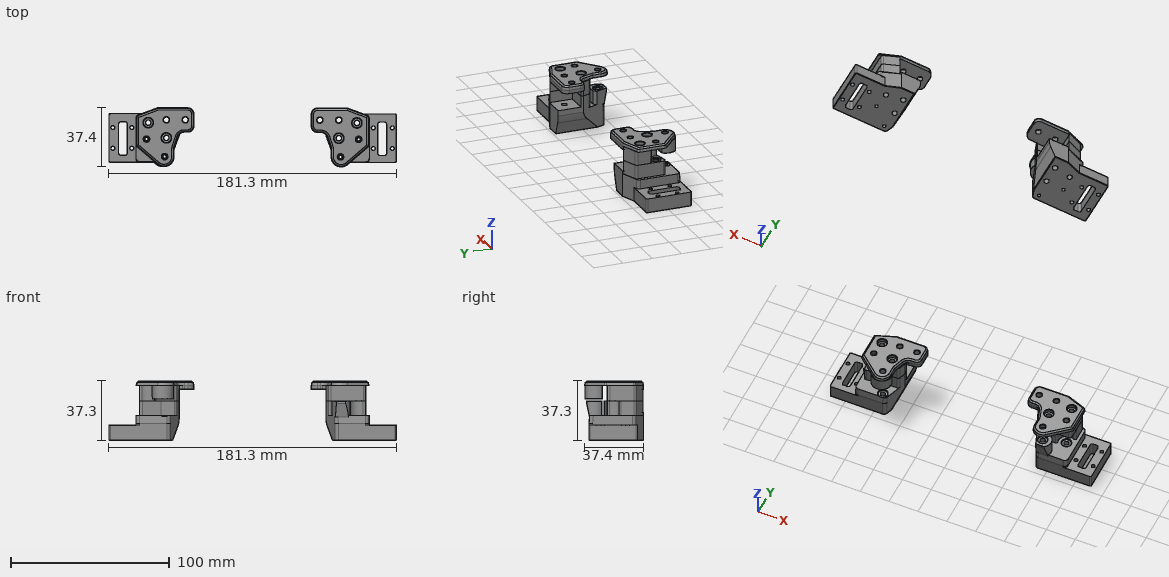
import cadquery as cq
import math


total_length = 181.3
right_unit_shift = 0.2

slab_top = 9.6
rim_top = 10.7
ledge_top = 15.8
shelf_top = 17.5
seam = 25.0
pad_bottom = 32.3
plate_bottom = 34.6
plate_top = 37.3

side_screw = (23.7, 14.7)
front_screw = (35.2, 3.6)
counterbored_points = [(24.8, 25.0), (36.3, 15.4)]
arm_points = [(36.3, 26.8), (48.2, 26.8)]
plate_hole = 3.5
long_bore = 3.3
counterbore = 6.0
counterbore_depth = 2.4
rim_chamfer = 0.4
seat_counterbore = 6.0
seat_depth = 0.5
seat_bore_depth = 5.5
pilot_hole = 2.0
mount_hole = 2.4
mount_center = (8.5, 15.4)
mount_hole_spacing = (12.0, 13.0)

slot_center = (8.9, 15.0)
slot_size = (5.5, 21.0)
slot_corner_radius = 1.5

plate_left = 17.2
plate_right = 53.7
plate_left_front = 10.3
plate_left_back = 29.4
plate_back = 34.5
back_bend_x = 30.8
nose_center = (34.8, 3.6)
nose_radius = 6.3
waist_y = 9.2
arm_front = 19.0
armpit_x = 44.4
plate_corner_radius = 3.8
armpit_radius = 4.5
bend_radius = 1.8
edge_bevel = 0.9
wall_taper = 12.0

slab_depth = 30.8
ledge_left = 17.0
wall_right = 44.4
wall_bend_y = 17.0
wall_front_x = 38.2
ledge_setback = 0.5
underside_run = 4.2
underside_rise = 11.2
underside_round = 14.5
bottom_bevel = 0.4
ledge_corner_radius = 2.4
slab_corner_radius = 0.9

core_left = 19.2
core_left_back = 29.7
core_back = 34.0
core_front = 11.6
tower_corner_front = 9.2
tower_front_bend = 32.8
screw_clearance = 10.9
core_corner_radius = 1.6
lip_radius = 1.0
notch_left = 30.0
notch_front = 18.9

boss_back = 8.3
standing_boss_radius = 6.0
standing_boss_top = 24.8
boss_slope_bottom = 14.7
boss_slope_top = 23.4
boss_slope_lean = 1.8
hanging_boss_bottom = 26.3
hanging_boss_center = (34.0, 4.0)
hanging_boss_radius = 6.7

pick_reach = 0.09
cut_margin = 1.8


def wall_x(y):
    """X of the oblique inner wall at a given Y."""
    return wall_front_x + (wall_right - wall_front_x) * y / wall_bend_y


def cylinder(center, diameter, bottom, top):
    return cq.Workplane("XY", origin=(*center, bottom)).circle(diameter / 2).extrude(top - bottom)


def prism(points, bottom, top):
    return cq.Workplane("XY", origin=(0, 0, bottom)).polyline(points).close().extrude(top - bottom)


def side_prism(points, left, right):
    """A (Y, Z) outline carried along X."""
    return cq.Workplane("YZ", origin=(left, 0, 0)).polyline(points).close().extrude(right - left)


def round_corner(body, x, y, radius):
    """Round the upright edges that stand at (x, y)."""
    low_corner = (x - pick_reach, y - pick_reach, 0)
    high_corner = (x + pick_reach, y + pick_reach, plate_top)
    selector = cq.selectors.BoxSelector(low_corner, high_corner)
    return body.edges("|Z").edges(selector).fillet(radius)


def plate_prism(height):
    """The plate outline as a prism: straight edges and a round nose around the front screw."""
    nose_x, nose_y = nose_center
    start = (plate_left, plate_left_front)
    start_angle = math.atan2(start[1] - nose_y, start[0] - nose_x)
    tangent_angle = start_angle + math.acos(nose_radius / math.dist(start, nose_center))
    middle_angle = tangent_angle / 2 + math.pi

    def on_nose(angle):
        return (nose_x + nose_radius * math.cos(angle), nose_y + nose_radius * math.sin(angle))

    body = (
        cq.Workplane("XY")
        .moveTo(*start)
        .lineTo(*on_nose(tangent_angle))
        .threePointArc(on_nose(middle_angle), on_nose(0))
        .lineTo(nose_x + nose_radius, waist_y)
        .lineTo(armpit_x, arm_front)
        .lineTo(plate_right, arm_front)
        .lineTo(plate_right, plate_back)
        .lineTo(back_bend_x, plate_back)
        .lineTo(plate_left, plate_left_back)
        .close()
        .extrude(height)
    )
    corners = [
        (*start, bend_radius),
        (nose_x + nose_radius, waist_y, bend_radius),
        (armpit_x, arm_front, armpit_radius),
        (plate_right, arm_front, plate_corner_radius),
        (plate_right, plate_back, plate_corner_radius),
        (back_bend_x, plate_back, bend_radius),
        (plate_left, plate_left_back, bend_radius),
    ]
    for x, y, radius in corners:
        body = round_corner(body, x, y, radius)
    return body


def core(bottom, top, bulged=False):
    """The upright column under the plate; a bulged one reaches forward around the side screw."""
    front_left = [(core_left, core_front)]
    if bulged:
        front_left = [(core_left, tower_corner_front), (tower_front_bend, core_front)]
    front_right = (wall_x(core_front), core_front)
    points = [
        *front_left,
        front_right,
        (wall_right, wall_bend_y),
        (wall_right, notch_front),
        (notch_left, notch_front),
        (notch_left, core_back),
        (core_left, core_left_back),
    ]
    body = prism(points, bottom, top)
    for x, y in (points[0], front_right, points[-1]):
        body = round_corner(body, x, y, core_corner_radius)
    return body


def cut_screw_clearance(body, bottom, top):
    """Open the front left corner of a column around the side screw, with rounded lips."""
    center_x, center_y = side_screw
    radius = screw_clearance / 2
    side_lip_y = center_y + math.sqrt(radius**2 - (center_x - core_left) ** 2)
    front_lip_x = center_x + math.sqrt(radius**2 - (center_y - core_front) ** 2)
    body = body.cut(cylinder(side_screw, screw_clearance, bottom, top))
    body = round_corner(body, core_left, side_lip_y, lip_radius)
    return round_corner(body, front_lip_x, core_front, lip_radius)


def drill(body, center, diameter, bottom, top):
    """Cut a straight hole with a chamfered upper rim."""
    radius = diameter / 2
    rim_bottom = cq.Vector(*center, top - rim_chamfer)
    rim = cq.Solid.makeCone(radius, radius + rim_chamfer, rim_chamfer, rim_bottom)
    return body.cut(cylinder(center, diameter, bottom, top)).cut(cq.Workplane(rim))


def hanging_boss():
    """Boss under the plate nose: round in front and flat at the back."""
    boss = cylinder(hanging_boss_center, 2 * hanging_boss_radius, hanging_boss_bottom, plate_bottom)
    behind = cq.Workplane("XY").box(plate_right, plate_back, plate_bottom, centered=False)
    return boss.cut(behind.translate((0, boss_back, 0)))


def plate(has_hanging_boss):
    """Cover plate with its block; one kind carries a boss hanging over the ledge."""
    outline = plate_prism(1.8).faces("<Z").wires()
    cover = cq.Workplane("XY").add(outline).toPending().extrude(plate_top - plate_bottom, taper=wall_taper)
    body = cover.faces(">Z").chamfer(edge_bevel).translate((0, 0, plate_bottom))

    arm = cq.Workplane("XY").box(plate_right, plate_back, plate_bottom - pad_bottom, centered=False)
    arm = arm.translate((notch_left, notch_front, 0))
    pad = plate_prism(plate_bottom - pad_bottom).intersect(arm)
    body = body.union(pad.translate((0, 0, pad_bottom)))

    block = core(seam, plate_bottom)
    if has_hanging_boss:
        block = cut_screw_clearance(block, seam, plate_bottom)
        body = body.union(hanging_boss())
    body = body.union(block)

    for center in [side_screw, front_screw, *arm_points]:
        body = drill(body, center, plate_hole, seam, plate_top)
    for center in counterbored_points:
        body = body.cut(cylinder(center, long_bore, seam, plate_top))
        body = drill(body, center, counterbore, plate_top - counterbore_depth, plate_top)
    return body


def ledge_layer(bottom, top, setback):
    """A layer of the ledge between two heights, its front leaning back by the setback at the top."""
    back_points = [
        (wall_right, wall_bend_y),
        (wall_right, plate_back),
        (back_bend_x, plate_back),
        (ledge_left, plate_left_back),
    ]
    body = prism([(ledge_left, 0), (wall_front_x, 0), *back_points], bottom, top)
    body = round_corner(body, *back_points[-1], ledge_corner_radius)
    if setback > 0:
        front_lean = [(0, bottom), (setback, top), (-cut_margin, top), (-cut_margin, bottom)]
        body = body.cut(side_prism(front_lean, 0, plate_right))
    reach = setback + pick_reach
    for x in (ledge_left, wall_front_x):
        corner = cq.selectors.BoxSelector((x - reach, -reach, bottom), (x + reach, reach, top))
        body = body.edges("not #Z").edges(corner).fillet(ledge_corner_radius)
    return body


def standing_boss():
    """Boss on the ledge, with a face leaning forward from the ledge front."""
    body = cylinder(front_screw, 2 * standing_boss_radius, boss_slope_bottom, standing_boss_top)
    front_at_bottom = ledge_setback * (boss_slope_bottom - rim_top) / (ledge_top - rim_top)
    kept = side_prism(
        [
            (front_at_bottom, boss_slope_bottom),
            (front_at_bottom - boss_slope_lean, boss_slope_top),
            (front_at_bottom - boss_slope_lean, standing_boss_top),
            (boss_back, standing_boss_top),
            (boss_back, boss_slope_bottom),
        ],
        0,
        plate_right,
    )
    inner_side = [
        (0, -standing_boss_radius),
        (wall_x(-standing_boss_radius), -standing_boss_radius),
        (wall_right, wall_bend_y),
        (0, wall_bend_y),
    ]
    return body.intersect(kept).intersect(prism(inner_side, 0, plate_bottom))


def cut_seat(body, center, top):
    """Screw seat: a shallow recess, a bore and a pilot hole through the bottom."""
    body = drill(body, center, seat_counterbore, top - seat_depth, top)
    body = body.cut(cylinder(center, long_bore, top - seat_bore_depth, top))
    return body.cut(cylinder(center, pilot_hole, 0, top))


def slab():
    """Flat slab at the outer end, reaching under the ledge to its bent back edge."""
    back_slope = (plate_back - plate_left_back) / (back_bend_x - ledge_left)
    right = ledge_left + (slab_depth - plate_left_back) / back_slope
    body = prism([(0, 0), (right, 0), (right, slab_depth), (0, slab_depth)], 0, slab_top)
    for y in (0, slab_depth):
        body = round_corner(body, 0, y, slab_corner_radius)
    return body


def cut_underside(body):
    """Slope the lower part of the inner side and blend it into the upright walls."""
    points = [
        (wall_right - underside_run, 0),
        (wall_right, underside_rise),
        (wall_right + cut_margin, underside_rise),
        (wall_right + cut_margin, 0),
    ]
    cutter = cq.Workplane("XZ", origin=(0, plate_back, 0)).polyline(points).close().extrude(plate_back)
    body = body.cut(cutter)
    fold = cq.selectors.BoxSelector(
        (wall_right - pick_reach, 0, underside_rise - pick_reach),
        (wall_right + pick_reach, plate_back, underside_rise + pick_reach),
    )
    return body.edges("|Y").edges(fold).fillet(underside_round)


def cut_slot_and_mount_holes(body):
    slot = cq.Workplane("XY").box(*slot_size, 2 * slab_top).edges("|Z").fillet(slot_corner_radius)
    body = body.cut(slot.translate((*slot_center, 0)))
    for x_side in (-0.5, 0.5):
        for y_side in (-0.5, 0.5):
            x = mount_center[0] + x_side * mount_hole_spacing[0]
            y = mount_center[1] + y_side * mount_hole_spacing[1]
            body = body.cut(cylinder((x, y), mount_hole, 0, slab_top))
    return body


def bracket(has_standing_boss):
    """Slotted slab with a ledge and a tower; one kind carries a boss on its ledge."""
    body = ledge_layer(0, rim_top, 0).union(ledge_layer(rim_top, ledge_top, ledge_setback))
    body = cut_underside(body.union(slab()))
    body = body.faces("<Z").chamfer(bottom_bevel)
    shelf_points = [(notch_left, notch_front), (wall_right, notch_front), (wall_right, plate_back)]
    shelf_points += [(back_bend_x, plate_back), (notch_left, core_back)]
    body = body.union(prism(shelf_points, ledge_top, shelf_top))

    if has_standing_boss:
        tower = cut_screw_clearance(core(ledge_top, seam), ledge_top, seam)
        body = body.union(standing_boss())
    else:
        tower = core(ledge_top, seam, bulged=True)
    body = body.union(tower)

    body = cut_slot_and_mount_holes(body)
    for center in counterbored_points:
        body = body.cut(cylinder(center, long_bore, 0, seam))
    body = body.cut(cylinder(arm_points[0], plate_hole, 0, shelf_top))
    side_seat, front_seat = (ledge_top, standing_boss_top) if has_standing_boss else (seam, ledge_top)
    body = cut_seat(body, side_screw, side_seat)
    return cut_seat(body, front_screw, front_seat)


def place_left(body):
    return body.translate((-total_length / 2, 0, 0))


def place_right(body):
    return place_left(body).mirror("YZ").translate((0, -right_unit_shift, 0))


result = cq.Compound.makeCompound(
    [
        place_left(bracket(has_standing_boss=False)).val(),
        place_left(plate(has_hanging_boss=True)).val(),
        place_right(bracket(has_standing_boss=True)).val(),
        place_right(plate(has_hanging_boss=False)).val(),
    ]
)